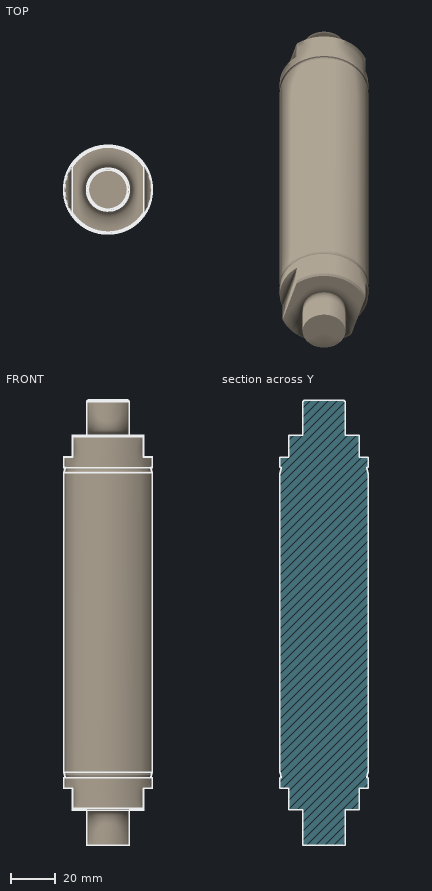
import cadquery as cq

length = 200.0
body_diameter = 39.8

stud_diameter = 19.2
stud_length = 15.8
top_stud_chamfer = 0.8

cap_length = 14.6
cap_chamfer = 0.8
flat_width = 32.0
flat_length = 9.8

groove_depth = 0.6
groove_length = 1.8
tube_edge_length = 0.6
tube_edge_inset = 0.2

body_radius = body_diameter / 2
stud_radius = stud_diameter / 2
cap_inner_z = length / 2 - stud_length - cap_length
shoulder_z = length / 2 - stud_length
tube_edge_z = cap_inner_z - groove_length


def end_profile():
    """Radius and height points from the tube edge out to the foot of the upper stud."""
    return [
        (body_radius, tube_edge_z - tube_edge_length),
        (body_radius - tube_edge_inset, tube_edge_z),
        (body_radius - groove_depth, cap_inner_z),
        (body_radius, cap_inner_z),
        (body_radius, shoulder_z - cap_chamfer),
        (body_radius - cap_chamfer, shoulder_z),
        (stud_radius, shoulder_z),
    ]


def make_body():
    """Revolve the whole roller; only the upper stud tip is chamfered."""
    upper_end = end_profile()
    lower_end = [(radius, -z) for radius, z in reversed(upper_end)]
    upper_tip = [
        (stud_radius, length / 2 - top_stud_chamfer),
        (stud_radius - top_stud_chamfer, length / 2),
        (0, length / 2),
    ]
    lower_tip = [(0, -length / 2), (stud_radius, -length / 2)]
    profile = lower_tip + lower_end + upper_end + upper_tip
    return cq.Workplane("XZ").polyline(profile).close().revolve(360, (0, 0, 0), (0, 1, 0))


def cut_flats(body):
    """Cut two parallel wrench flats, facing -X and +X, into each cap."""
    flat_center_x = flat_width / 2 + body_radius / 2
    flat_center_z = shoulder_z - flat_length / 2
    cutters = (
        cq.Workplane("XY")
        .rarray(2 * flat_center_x, 2, 2, 1)
        .box(body_radius, body_diameter, flat_length)
    )
    for end in (-1, 1):
        body = body.cut(cutters.translate((0, 0, end * flat_center_z)))
    return body


result = cut_flats(make_body())